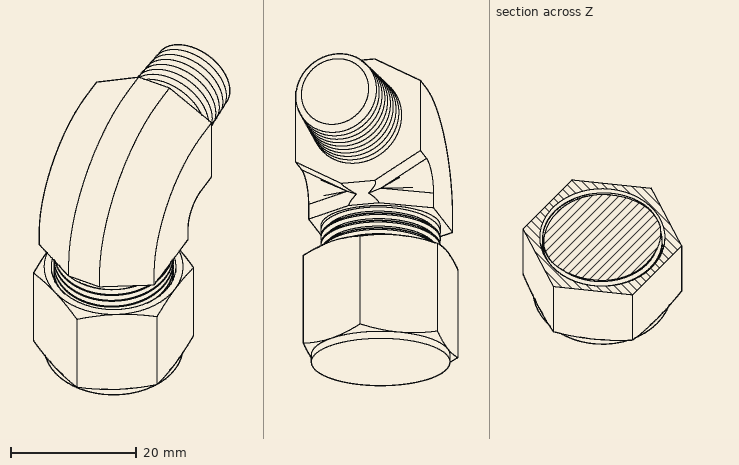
import cadquery as cq
import math

HALF_CORNER = math.radians(30)


ELBOW_HALF_WIDTH = 10.35
BLUNT_HALF_HEIGHT = 10.35
MALE_FACE_Y = 14.15
NECK_FACE_Z = -12.85
BEND = BLUNT_HALF_HEIGHT
INNER_FILLET = 3.5

MALE_END_Y = 28.45
MALE_THREAD_LENGTH = 14.1
MALE_TURNS = 10
MALE_PITCH = MALE_THREAD_LENGTH / MALE_TURNS
MALE_END_CREST_RADIUS = 6.7
MALE_CREST_GROWTH = 0.09
MALE_RIDGE_HEIGHT = 1.05

NECK_RADIUS = 9.55
NECK_INSERTION = 9.3
FIRST_GROOVE_Z = -14.3
GROOVE_SPAN = 10.2
GROOVE_COUNT = 9
NECK_PITCH = GROOVE_SPAN / (GROOVE_COUNT - 1)
GROOVE_DEPTH = 0.65
GROOVE_FLOOR_WIDTH = 0.3
FLANK_ANGLE = 30

NUT_FLATS = 22.2
NUT_TOP_Z = -18.32
NUT_HEX_HEIGHT = 16.5
NUT_CORNER_DROP = 0.8
NUT_COLLAR_HEIGHT = 1.2
NUT_BORE_RADIUS = 9.97

NECK_END_Z = NUT_TOP_Z - NECK_INSERTION

HEXAGON_SIDE = 2 * ELBOW_HALF_WIDTH * math.tan(HALF_CORNER)
BLUNT_WIDTH = 2 * (HEXAGON_SIDE - BLUNT_HALF_HEIGHT) / math.tan(HALF_CORNER)

MALE_PLANE = cq.Plane(origin=(0, BEND, 0), xDir=(-1, 0, 0), normal=(0, 1, 0))
NECK_PLANE = cq.Plane(origin=(0, 0, -BEND), xDir=(1, 0, 0), normal=(0, 0, -1))


def blunt_hexagon(plane):
    """Elbow section, with its blunted points along the local Y of the plane."""
    w = ELBOW_HALF_WIDTH
    h = BLUNT_HALF_HEIGHT
    side = HEXAGON_SIDE / 2
    blunt = BLUNT_WIDTH / 2
    return (
        cq.Workplane(plane)
        .polyline([(w, -side), (w, side), (blunt, h), (-blunt, h),
                   (-w, side), (-w, -side), (-blunt, -h), (blunt, -h)])
        .close()
    )


def make_roof(plane, length):
    """Triangular ridge that restores the sharp hexagon point over the inner flat of a leg."""
    return (
        cq.Workplane(plane)
        .polyline([(-BLUNT_WIDTH / 2, -BLUNT_HALF_HEIGHT),
                   (BLUNT_WIDTH / 2, -BLUNT_HALF_HEIGHT),
                   (0, -HEXAGON_SIDE)])
        .close()
        .extrude(length)
    )


def make_inner_fillet():
    """Inner corner of the elbow: the sharp hexagon points of both legs, trimmed by a concave arc."""
    male_length = MALE_FACE_Y - BEND
    neck_length = -BEND - NECK_FACE_Z
    drop_below_center = INNER_FILLET - neck_length
    end_y = BEND + INNER_FILLET - math.sqrt(INNER_FILLET**2 - drop_below_center**2)
    arc_trim = (
        cq.Workplane("YZ", origin=(-BLUNT_WIDTH / 2, 0, 0))
        .moveTo(BEND, -BEND)
        .lineTo(BEND + INNER_FILLET, -BEND)
        .radiusArc((end_y, NECK_FACE_Z), -INNER_FILLET)
        .lineTo(BEND, NECK_FACE_Z)
        .close()
        .extrude(BLUNT_WIDTH)
    )
    roofs = make_roof(MALE_PLANE, male_length).union(make_roof(NECK_PLANE, neck_length))
    return roofs.intersect(arc_trim)


def make_bend_block():
    male_leg = blunt_hexagon(MALE_PLANE).extrude(MALE_FACE_Y - BEND)
    neck_leg = blunt_hexagon(NECK_PLANE).extrude(-BEND - NECK_FACE_Z)
    bend = blunt_hexagon(MALE_PLANE).revolve(90, (0, -BEND), (-1, -BEND))
    return bend.union(male_leg).union(neck_leg).union(make_inner_fillet())


def make_male_thread():
    """Solid of sharp ridges around the Y axis, tapering towards the free end."""
    outline = [(0, MALE_END_Y)]
    for turn in range(MALE_TURNS):
        crest = MALE_END_CREST_RADIUS + turn * MALE_CREST_GROWTH
        start_y = MALE_END_Y - turn * MALE_PITCH
        outline.append((crest - MALE_CREST_GROWTH / 2 - MALE_RIDGE_HEIGHT, start_y))
        outline.append((crest, start_y - MALE_PITCH / 2))
    last_root = crest + MALE_CREST_GROWTH / 2 - MALE_RIDGE_HEIGHT
    outline.append((last_root, MALE_END_Y - MALE_THREAD_LENGTH))
    outline.append((last_root, MALE_FACE_Y))
    outline.append((0, MALE_FACE_Y))
    return cq.Workplane("XY").polyline(outline).close().revolve(360, (0, 0), (0, 1))


def make_neck_groove():
    """Ring cutter around the Z axis, tilted so that it climbs one pitch towards +Y."""
    floor_radius = NECK_RADIUS - GROOVE_DEPTH
    outer_radius = NECK_RADIUS + GROOVE_DEPTH
    floor = GROOVE_FLOOR_WIDTH / 2
    mouth = floor + (outer_radius - floor_radius) * math.tan(math.radians(FLANK_ANGLE))
    tilt = math.degrees(math.atan(NECK_PITCH / (2 * NECK_RADIUS)))
    return (
        cq.Workplane("XZ")
        .polyline([(floor_radius, floor), (outer_radius, mouth),
                   (outer_radius, -mouth), (floor_radius, -floor)])
        .close()
        .revolve(360, (0, 0), (0, 1))
        .rotate((0, 0, 0), (1, 0, 0), tilt)
    )


def make_neck():
    neck = (
        cq.Workplane("XY", origin=(0, 0, NECK_END_Z))
        .circle(NECK_RADIUS)
        .extrude(NECK_FACE_Z - NECK_END_Z)
    )
    groove = make_neck_groove()
    for index in range(GROOVE_COUNT):
        neck = neck.cut(groove.translate((0, 0, FIRST_GROOVE_Z - index * NECK_PITCH)))
    return neck


def make_elbow():
    return make_bend_block().union(make_male_thread()).union(make_neck())


def make_nut():
    hex_bottom_z = NUT_TOP_Z - NUT_HEX_HEIGHT
    flat_radius = NUT_FLATS / 2
    corner_radius = flat_radius / math.cos(HALF_CORNER)
    hexagon = (
        cq.Workplane("XY", origin=(0, 0, hex_bottom_z))
        .polygon(6, 2 * corner_radius)
        .extrude(NUT_HEX_HEIGHT)
        .rotate((0, 0, 0), (0, 0, 1), 90)
    )
    chamfer_envelope = (
        cq.Workplane("XZ")
        .polyline([
            (0, hex_bottom_z),
            (flat_radius, hex_bottom_z),
            (corner_radius, hex_bottom_z + NUT_CORNER_DROP),
            (corner_radius, NUT_TOP_Z - NUT_CORNER_DROP),
            (flat_radius, NUT_TOP_Z),
            (0, NUT_TOP_Z),
        ])
        .close()
        .revolve(360, (0, 0), (0, 1))
    )
    collar = (
        cq.Workplane("XY", origin=(0, 0, hex_bottom_z))
        .circle(flat_radius)
        .extrude(-NUT_COLLAR_HEIGHT)
    )
    recess = (
        cq.Workplane("XY", origin=(0, 0, NECK_END_Z))
        .circle(NUT_BORE_RADIUS)
        .extrude(NECK_INSERTION)
    )
    return hexagon.intersect(chamfer_envelope).union(collar).cut(recess)


elbow = make_elbow()
nut = make_nut()

result = cq.Compound.makeCompound([elbow.val(), nut.val()])